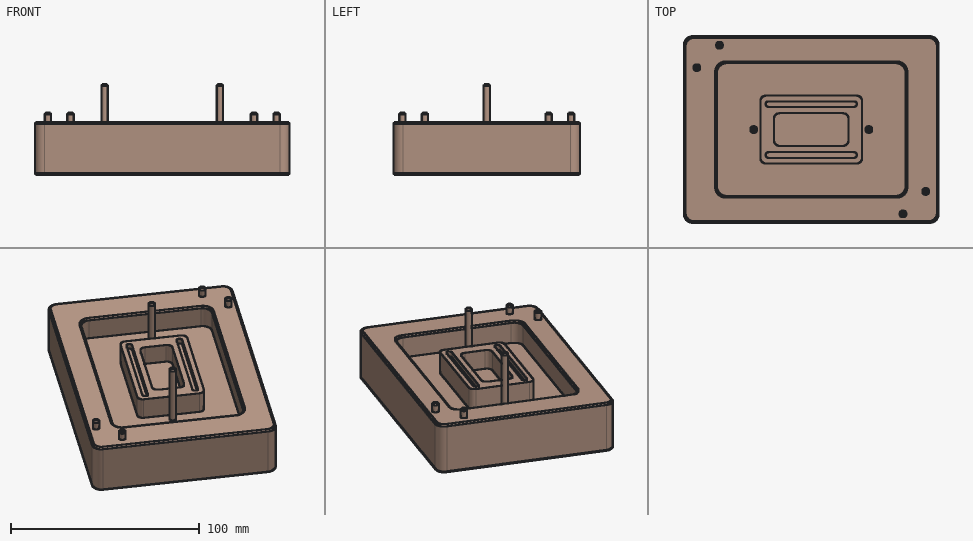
import cadquery as cq

LENGTH = 135.0
WIDTH = 99.0
HEIGHT = 28.0
CORNER_RADIUS = 5.0
EDGE_CHAMFER = 1.0

POCKET_LENGTH = 100.0
POCKET_WIDTH = 70.3
POCKET_DEPTH = 12.5
POCKET_RADIUS = 5.0
POCKET_CHAMFER = 1.0

ISLAND_LENGTH = 54.0
ISLAND_WIDTH = 35.9
ISLAND_HEIGHT = 12.0
ISLAND_RADIUS = 3.0

RECESS_LENGTH = 39.5
RECESS_WIDTH = 17.3
RECESS_DEPTH = 10.8
RECESS_RADIUS = 3.0
SLOT_LENGTH = 48.3
SLOT_WIDTH = 3.0
SLOT_DEPTH = 3.0
SLOT_OFFSET = 13.5

PIN_DIAMETER = 3.5
PIN_CHAMFER = 1.0
GUIDE_PIN_RISE = 20.1
GUIDE_PIN_OFFSET = 30.5
CORNER_PIN_HEIGHT = 5.0
CORNER_PIN_INNER = (48.6, 44.7)
CORNER_PIN_OUTER = (60.6, 32.8)

FLOOR_Z = HEIGHT - POCKET_DEPTH
ISLAND_TOP_Z = FLOOR_Z + ISLAND_HEIGHT
GUIDE_PIN_HEIGHT = POCKET_DEPTH + GUIDE_PIN_RISE


def rounded_block(length, width, height, radius, base_z):
    """Block centred on the Z axis, with rounded vertical edges."""
    block = cq.Workplane("XY").workplane(offset=base_z).rect(length, width).extrude(height)
    return block.edges("|Z").fillet(radius)


def make_shell():
    """Outer block, chamfered all round at top and bottom, with its open pocket."""
    block = rounded_block(LENGTH, WIDTH, HEIGHT, CORNER_RADIUS, 0)
    block = block.faces("<Z or >Z").edges().chamfer(EDGE_CHAMFER)
    pocket = rounded_block(POCKET_LENGTH, POCKET_WIDTH, POCKET_DEPTH, POCKET_RADIUS, FLOOR_Z)
    shell = block.cut(pocket)
    pocket_rim = shell.faces(">Z").val().innerWires()[0].Edges()
    return shell.newObject(pocket_rim).chamfer(POCKET_CHAMFER)


def make_island():
    """Raised block with a central recess and a slot along each long side."""
    island = rounded_block(ISLAND_LENGTH, ISLAND_WIDTH, ISLAND_HEIGHT, ISLAND_RADIUS, FLOOR_Z)
    recess = rounded_block(
        RECESS_LENGTH, RECESS_WIDTH, RECESS_DEPTH, RECESS_RADIUS, ISLAND_TOP_Z - RECESS_DEPTH
    )
    slots = (
        cq.Workplane("XY")
        .workplane(offset=ISLAND_TOP_Z - SLOT_DEPTH)
        .pushPoints([(0, SLOT_OFFSET), (0, -SLOT_OFFSET)])
        .slot2D(SLOT_LENGTH, SLOT_WIDTH)
        .extrude(SLOT_DEPTH)
    )
    return island.cut(recess).cut(slots)


def make_housing():
    """Shell with the island joined to its pocket floor."""
    return make_shell().union(make_island())


def make_pin(x, y, base_z, height):
    """Upright pin with a chamfered tip."""
    pin = cq.Workplane("XY", origin=(x, y, base_z)).circle(PIN_DIAMETER / 2).extrude(height)
    return pin.faces(">Z").chamfer(PIN_CHAMFER)


housing = make_housing()

guide_pins = [make_pin(side * GUIDE_PIN_OFFSET, 0, FLOOR_Z, GUIDE_PIN_HEIGHT) for side in (-1, 1)]

corner_pins = []
for side in (-1, 1):
    for x, y in (CORNER_PIN_INNER, CORNER_PIN_OUTER):
        corner_pins.append(make_pin(side * x, -side * y, HEIGHT, CORNER_PIN_HEIGHT))

result = cq.Compound.makeCompound(
    [housing.val()] + [pin.val() for pin in guide_pins + corner_pins]
)